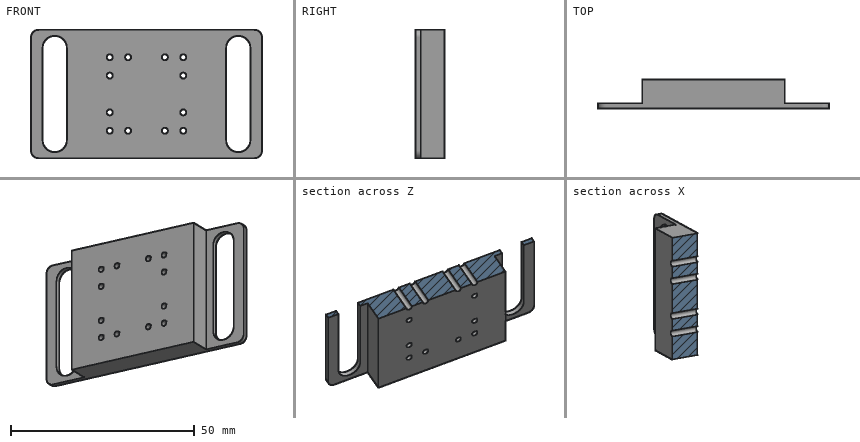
import cadquery as cq

plate_width = 63.0
height = 35.0
total_depth = 8.0
plate_thickness = 1.5
corner_radius = 2.0
block_width = 38.95

slot_spacing = 50.0
slot_width = 6.55
slot_length = 31.6

hole_diameter = 1.6
outer_hole_offset = 10.0
inner_hole_offset = outer_hole_offset / 2


def make_plate():
    """Plate with rounded corners, its front face on Y = 0."""
    plate = cq.Workplane("XY").box(plate_width, plate_thickness, height, centered=(True, False, True))
    return plate.edges("|Y").fillet(corner_radius)


def make_block():
    """Full-height block running from the plate's front face to the back."""
    return cq.Workplane("XY").box(block_width, total_depth, height, centered=(True, False, True))


def make_slots():
    """Cutters for the two round-ended slots."""
    centers = [(-slot_spacing / 2, 0), (slot_spacing / 2, 0)]
    return (
        cq.Workplane("XZ")
        .pushPoints(centers)
        .slot2D(slot_length, slot_width, 90)
        .extrude(-total_depth)
    )


def make_holes():
    """Cutters for the three holes grouped at each corner of the square."""
    corner_group = [
        (outer_hole_offset, outer_hole_offset),
        (inner_hole_offset, outer_hole_offset),
        (outer_hole_offset, inner_hole_offset),
    ]
    centers = [
        (side_x * x, side_z * z)
        for side_x in (-1, 1)
        for side_z in (-1, 1)
        for x, z in corner_group
    ]
    return cq.Workplane("XZ").pushPoints(centers).circle(hole_diameter / 2).extrude(-total_depth)


result = make_plate().union(make_block()).cut(make_slots()).cut(make_holes())